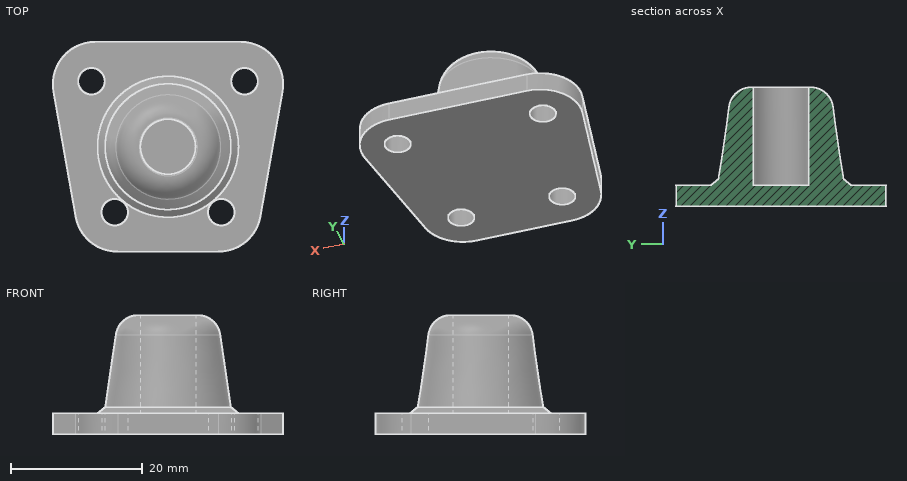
import cadquery as cq
import math

flange_width = 35.1
flange_length = 32.0
flange_thickness = 3.23
corner_radius = 6.5
front_corner_x = 7.7
back_corner_x = flange_width / 2 - corner_radius
corner_y = flange_length / 2 - corner_radius

mount_hole_diameter = 4.0
mount_hole_y = 9.97
back_hole_x = 11.65
front_hole_x = 8.1

total_height = 18.2
foot_radius = 10.75
foot_height = 0.95
boss_base_radius = 9.6
crown_start_radius = 7.97
crown_start_z = 15.2
crown_top_radius = 4.42

bore_diameter = 8.4
bore_depth = total_height - flange_thickness


def make_flange():
    side_angle = math.atan2(back_corner_x - front_corner_x, 2 * corner_y)
    tangent_x = corner_radius * math.cos(side_angle)
    tangent_y = -corner_radius * math.sin(side_angle)
    back_middle = (math.pi / 2 - side_angle) / 2
    front_middle = -(math.pi / 2 + side_angle) / 2

    def on_corner(center_x, center_y, angle):
        x = center_x + corner_radius * math.cos(angle)
        y = center_y + corner_radius * math.sin(angle)
        return x, y

    half_outline = (
        cq.Workplane("XY")
        .moveTo(0, flange_length / 2)
        .lineTo(back_corner_x, flange_length / 2)
        .threePointArc(
            on_corner(back_corner_x, corner_y, back_middle),
            (back_corner_x + tangent_x, corner_y + tangent_y),
        )
        .lineTo(front_corner_x + tangent_x, -corner_y + tangent_y)
        .threePointArc(
            on_corner(front_corner_x, -corner_y, front_middle),
            (front_corner_x, -flange_length / 2),
        )
        .lineTo(0, -flange_length / 2)
    )
    return half_outline.mirrorY().extrude(flange_thickness)


def make_boss():
    foot_top_z = flange_thickness + foot_height
    return (
        cq.Workplane("XZ")
        .lineTo(foot_radius, 0)
        .lineTo(foot_radius, flange_thickness)
        .lineTo(boss_base_radius, foot_top_z)
        .lineTo(crown_start_radius, crown_start_z)
        .tangentArcPoint((crown_top_radius, total_height), relative=False)
        .lineTo(0, total_height)
        .close()
        .revolve(360, (0, 0, 0), (0, 1, 0))
    )


mount_hole_points = []
for side in (-1, 1):
    mount_hole_points.append((side * back_hole_x, mount_hole_y))
    mount_hole_points.append((side * front_hole_x, -mount_hole_y))

mount_holes = (
    cq.Workplane("XY")
    .pushPoints(mount_hole_points)
    .circle(mount_hole_diameter / 2)
    .extrude(flange_thickness)
)
bore = (
    cq.Workplane("XY", origin=(0, 0, total_height - bore_depth))
    .circle(bore_diameter / 2)
    .extrude(bore_depth)
)

result = make_flange().union(make_boss()).cut(mount_holes).cut(bore)